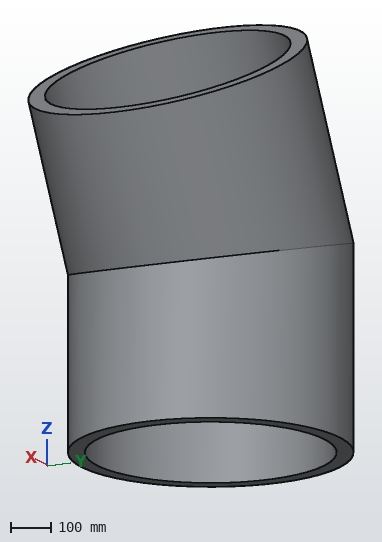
import cadquery as cq
import math

overall_height = 1101.0
outer_diameter = 710.0
inner_diameter = 626.0
bend_angle = math.radians(30.0)

end_face_rise = outer_diameter / 2 * math.sin(bend_angle)
leg_length = (overall_height - end_face_rise) / (1 + math.cos(bend_angle))

bend_point = (0, leg_length)
end_point = (
    leg_length * math.sin(bend_angle),
    leg_length * (1 + math.cos(bend_angle)),
)
centreline = cq.Workplane("XZ").polyline([(0, 0), bend_point, end_point])

pipe_section = cq.Workplane("XY").circle(outer_diameter / 2).circle(inner_diameter / 2)
result = pipe_section.sweep(centreline, transition="right")